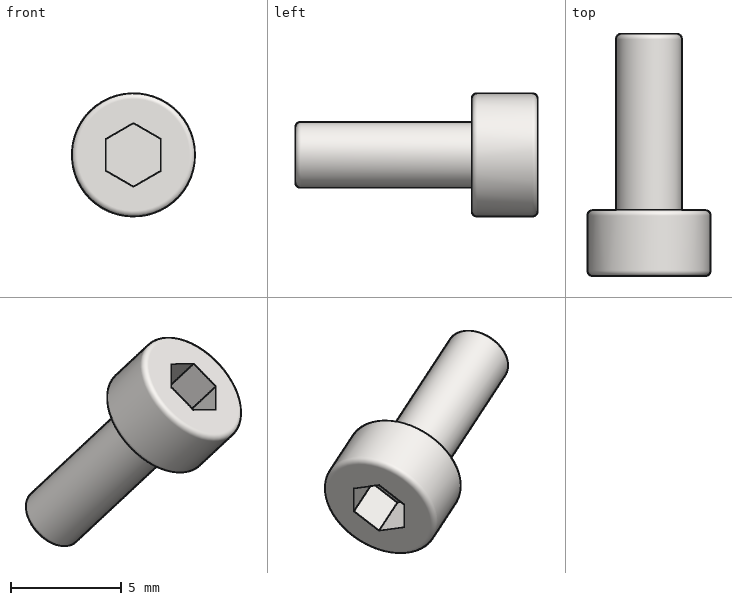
import cadquery as cq
import math

total_length = 11.0
head_diameter = 5.6
head_height = 3.0
shank_diameter = 3.0
shank_length = total_length - head_height
edge_size = 0.25
socket_across_flats = 2.5
socket_depth = 2.0


def cylinder_along_y(diameter, start_y, length):
    """Solid cylinder running from start_y toward +Y."""
    plane = cq.Workplane("XZ", origin=(0, start_y, 0))
    return plane.circle(diameter / 2).extrude(-length)


def make_head():
    """Head with rounded front and underside rims."""
    head = cylinder_along_y(head_diameter, -head_height, head_height)
    return head.faces("<Y or >Y").edges().fillet(edge_size)


def make_shank():
    """Plain shank with a rounded tip."""
    shank = cylinder_along_y(shank_diameter, 0, shank_length)
    return shank.faces(">Y").edges().fillet(edge_size)


def make_socket():
    """Hexagonal drive socket with two corners pointing along Z."""
    across_corners = socket_across_flats / math.cos(math.pi / 6)
    plane = cq.Workplane("XZ", origin=(0, -head_height, 0))
    hexagon = plane.transformed(rotate=(0, 0, 90)).polygon(6, across_corners)
    return hexagon.extrude(-socket_depth)


result = make_head().union(make_shank()).cut(make_socket())